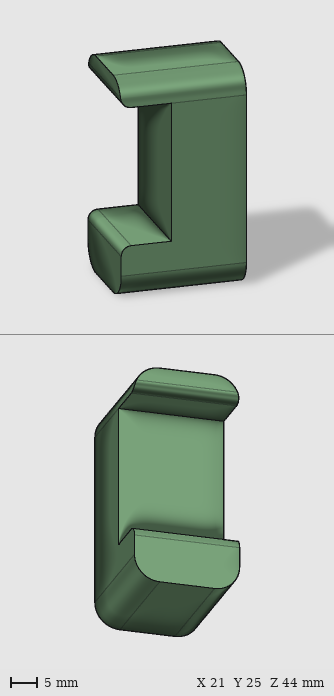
import cadquery as cq

width = 21.0
depth = 25.0
height = 44.0

web_thickness = 15.0
upper_arm_thickness = 5.0
lower_arm_thickness = 11.0
lip_radius = 2.0

corner_radius = 5.0

body = (
    cq.Workplane("XY")
    .box(width, depth, height)
    .edges("|Y")
    .fillet(corner_radius)
)

opening_depth = depth - web_thickness
opening_height = height - upper_arm_thickness - lower_arm_thickness
front_y = -depth / 2
opening_back_y = front_y + opening_depth
opening_bottom_z = -height / 2 + lower_arm_thickness
opening_top_z = opening_bottom_z + opening_height


def opening_profile():
    """Opening outline whose mouth flares out in a quarter round at each arm tip."""
    flare_start_y = front_y + lip_radius
    return (
        cq.Workplane("YZ", origin=(-width / 2, 0, 0))
        .moveTo(opening_back_y, opening_bottom_z)
        .lineTo(flare_start_y, opening_bottom_z)
        .radiusArc((front_y, opening_bottom_z - lip_radius), -lip_radius)
        .lineTo(front_y, opening_top_z + lip_radius)
        .radiusArc((flare_start_y, opening_top_z), -lip_radius)
        .lineTo(opening_back_y, opening_top_z)
        .close()
    )


result = body.cut(opening_profile().extrude(width))